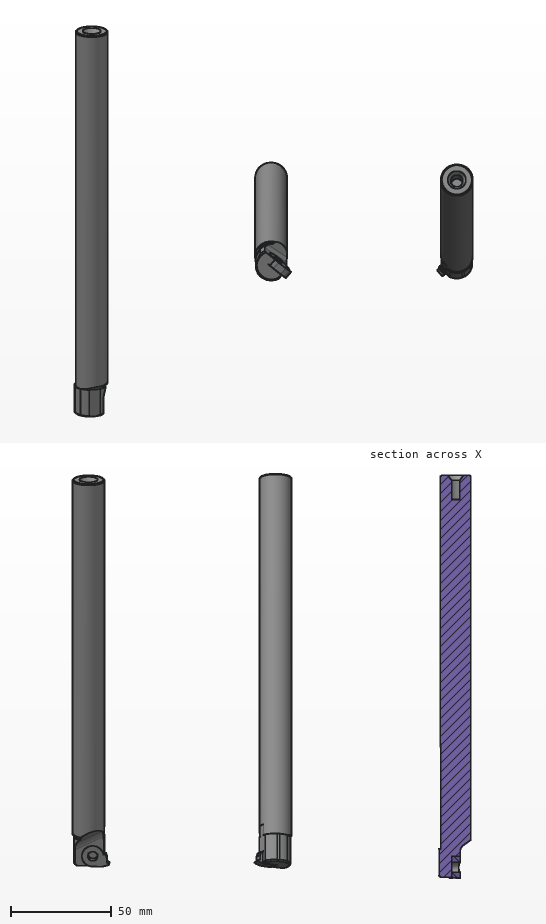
import cadquery as cq
import math

total_length = 201.2
shank_diameter = 16.0
shank_bottom = 14.7
top_chamfer = 0.6

bore_diameter = 6.0
bore_depth = 12.0
countersink_diameter = 9.0
countersink_angle = 60.0

head_diameter = 15.9
head_x = -0.5
head_y = -0.72
head_bottom = 0.5
head_top = shank_bottom
head_chamfer = 0.8
back_flat_x = 6.95

shoulder_height = 1.6
shoulder_lower_radius = 7.6
shoulder_upper_radius = 8.5

step_depth = 0.1
groove_left = -1.2
groove_right = 0.0
relief_left = 4.2

rake_angle = 15.0
side_flat_distance = 7.89
side_flat_top = 20.3
floor_v = 2.92
ramp_direction = 135.0
ramp_slope = 45.0
ramp_axis_height = 11.9
ramp_fillet = 4.0

insert_thickness = 4.0
disc_diameter = 10.9
disc_u = -2.2
insert_hole_diameter = 4.8
tooth_top_u = -8.7
tooth_top = 6.2
flank_u = -9.3
flank_top = 4.5
flank_bottom = 2.2
tip_u = -10.5
tip_height = 1.2
tip_root_height = 0.6
tooth_bottom_u = -6.8

oversize = 80.5

half_turn = 180.0
turn = math.radians(rake_angle)
u_axis = cq.Vector(math.cos(turn), math.sin(turn), 0)
v_axis = cq.Vector(-math.sin(turn), math.cos(turn), 0)
floor_plane = cq.Plane(origin=v_axis * floor_v, xDir=u_axis, normal=v_axis * -1)


def cylinder(diameter, bottom, top, x=0.0, y=0.0):
    """Upright cylinder between two heights."""
    base = cq.Workplane("XY").workplane(offset=bottom).center(x, y)
    return base.circle(diameter / 2).extrude(top - bottom)


def make_shank():
    shank = cylinder(shank_diameter, shank_bottom, total_length)
    shank = shank.faces(">Z").chamfer(top_chamfer)
    return shank.faces(">Z").workplane().cskHole(
        bore_diameter, countersink_diameter, countersink_angle, bore_depth
    )


def make_shoulder_trim():
    """Ring outside the shoulder cone; it cuts only the sides of the shank that stand out of the cone."""
    cone = cq.Solid.makeCone(
        shoulder_lower_radius,
        shoulder_upper_radius,
        shoulder_height,
        cq.Vector(head_x, head_y, shank_bottom),
    )
    ring = cylinder(oversize, shank_bottom, shank_bottom + shoulder_height)
    return ring.cut(cq.Workplane(cone))


def side_strip(left, right):
    """Cutter of step depth on the -Y side of the head, between two X positions."""
    inner = cylinder(head_diameter - 2 * step_depth, 0, head_top, head_x, head_y)
    strip = cq.Workplane("XY").box(right - left, head_diameter, head_top, centered=False)
    return strip.translate((left, head_y - head_diameter, 0)).cut(inner)


def make_head():
    head = cylinder(head_diameter, head_bottom, head_top, head_x, head_y)
    head = head.faces("<Z").chamfer(head_chamfer)
    back = cq.Workplane("XY").box(oversize, oversize, head_top, centered=(False, True, False))
    head = head.cut(back.translate((back_flat_x, 0, 0)))
    head = head.cut(side_strip(groove_left, groove_right))
    return head.cut(side_strip(relief_left, back_flat_x))


def make_side_flat():
    """Block whose face leaves the flat beside the insert."""
    block = cq.Workplane("XY").box(oversize, oversize, side_flat_top, centered=(False, True, False))
    block = block.translate((side_flat_distance, 0, 0))
    return block.rotate((0, 0, 0), (0, 0, 1), half_turn + rake_angle)


def make_chip_gullet():
    """Space on the +v side of the rake floor, closed above by a ramp and rounded where they meet."""
    ramp_rise = oversize * math.tan(math.radians(ramp_slope))
    front = cq.Workplane(floor_plane).rect(2 * oversize, 2 * oversize).extrude(-oversize)
    under_ramp = (
        cq.Workplane("XZ")
        .polyline([
            (-oversize, ramp_axis_height - ramp_rise),
            (oversize, ramp_axis_height + ramp_rise),
            (oversize, -oversize),
        ])
        .close()
        .extrude(oversize, both=True)
        .rotate((0, 0, 0), (0, 0, 1), ramp_direction)
    )
    gullet = front.intersect(under_ramp)
    ramp_root = v_axis * floor_v + cq.Vector(0, 0, ramp_axis_height)
    root_edge = cq.selectors.NearestToPointSelector(ramp_root.toTuple())
    return gullet.edges(root_edge).fillet(ramp_fillet)


def insert_disc(diameter):
    """Disc concentric with the insert, reaching from the rake floor through the insert thickness."""
    disc = cq.Workplane(floor_plane).center(disc_u, disc_diameter / 2)
    return disc.circle(diameter / 2).extrude(insert_thickness)


def make_insert_blank():
    """Insert without its hole; the same shape is the pocket in the bar."""
    tooth = (
        cq.Workplane(floor_plane)
        .polyline([
            (disc_u, 0),
            (disc_u, tooth_top),
            (tooth_top_u, tooth_top),
            (flank_u, flank_top),
            (flank_u, flank_bottom),
            (tip_u, tip_height),
            (flank_u, tip_root_height),
            (tooth_bottom_u, 0),
        ])
        .close()
        .extrude(insert_thickness)
    )
    return insert_disc(disc_diameter).union(tooth)


insert_blank = make_insert_blank()
insert = insert_blank.cut(insert_disc(insert_hole_diameter))

bar = make_shank().cut(make_shoulder_trim()).union(make_head())
bar = bar.cut(make_side_flat()).cut(make_chip_gullet()).cut(insert_blank)

result = cq.Compound.makeCompound([bar.val(), insert.val()])